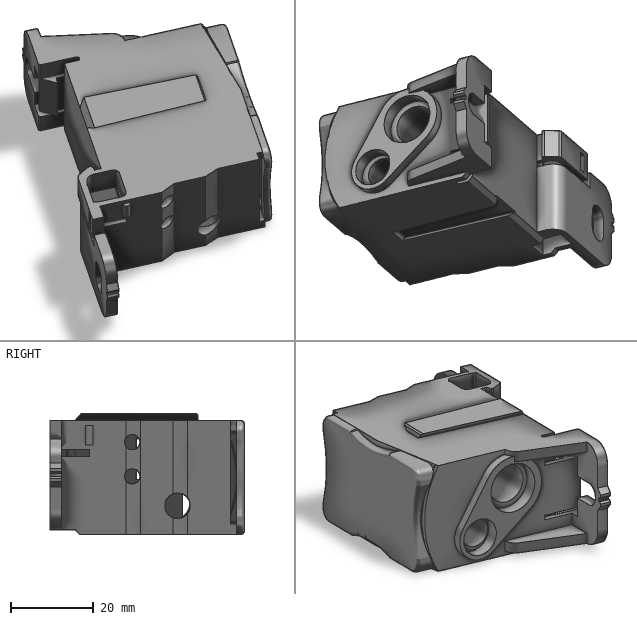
import cadquery as cq
import math

length = 77.2
width = 27.9
foot_z = 1.15
mid_z = (foot_z + width) / 2

front_x = 13.0
front_wall = 1.15
cap_x = 56.7
middle_tier_x = 58.2
back_x = 60.0
bottom_tier_y = 18.5
middle_tier_y = 30.0
tier_ramp = 3.55
base_y = 6.2
slope_start_y = 41.55
slope_end_x = 34.9
rim_y = 45.5
total_y = 47.5
notch_x = 54.75
notch_y = 44.1

flange_t = 2.85
flange_edge = 1.3
flange_r = 4.8
screw_half = 2.85
front_slot_x = 2.4
back_screw_x = 68.9
back_screw_z = 11.3
back_slot_length = 9.5
back_flange_top = 23.3
gap_z0 = 19.1
gap_z1 = 20.7
gap_top_y = 9.65
through_pocket_x = (52.8, 58.45)
tab_pocket_x = (50.2, 58.7)
pocket_floor_y = 1.6
pocket_top_y = 10.1
pocket_r = 1.55
pocket_large_r = 2.5
back_leg_x = 49.0
back_leg_r = 3.85
tab_tip_x = 47.65
tab_end_x = 63.5
tab_gap_end_x = 64.9
tab_gap_corner_r = 0.8
pull_slot_x = 61.7
pull_slot_z = (21.85, 26.65)
stop_bead_y = 9.6
stop_bead_r = 0.9

front_leg_x = 14.6
leg_chamfer = 0.4
leg_slot_w = 1.15
leg_slot_top = 10.1
wing_t = 2.6
wing_toe_x = 6.25
wing_shoulder = (10.0, 19.9)
wing_crown = (11.0, 21.4)
wing_top_y = 22.25
tongue_z = (7.95, 21.15)
tongue_slit = 1.15
tongue_root_y = 10.7
tongue_end_y = 0.5
catch_tip_x = 16.1

boss_x = 10.6
main_entry = (21.5, 18.4)
tap_entry = (31.0, 7.5)
main_entry_r = 6.3
tap_entry_r = 4.7
main_boss_r = 8.3
tap_boss_r = 5.9

dovetail_x = 33.0
dovetail_h = 1.6
dovetail_half_low = 4.9
dovetail_half_high = 4.1
dovetail_top_y = 36.15
dovetail_lead = 1.5
dovetail_end_chamfer = 0.4

cavity_x1 = cap_x - front_wall
cavity_z = (2.6, 25.25)
cavity_y = 12.35

terminal_top_y = 37.1
main_bore = (21.2, 18.4, 4.95)
tap_bore = (30.3, 7.5, 3.8)
main_ledge_y = 21.1
tap_ledge_y = 32.35
stop_x = 34.75
outlet_start_x = 46.3
main_outlet_y = 20.1
main_outlet_spread = 4.2
main_outlet_r = 3.1
main_exit_r = 1.85
tap_outlet = (31.1, 7.0, 3.1)

cap_corner_r = 3.2
cap_edge_r = 1.1
cap_clearance = 0.2
cap_skirt_y = 42.5
cap_roof = 1.2
grip_depth = 1.5
side_grip_half = 8.65
end_grip_half = 9.6
side_grip_lip = (0.3, 0.2)
end_grip_lip = (1.55, 0.4)


def box(x, y, z):
    """Box between pairs of limits along each axis."""
    size = (x[1] - x[0], y[1] - y[0], z[1] - z[0])
    return cq.Workplane("XY").box(*size, centered=False).translate((x[0], y[0], z[0]))


def along_z(points, z0, z1):
    """Closed polygon in X and Y, extruded between two Z levels."""
    return cq.Workplane("XY").workplane(offset=z0).polyline(points).close().extrude(z1 - z0)


def bore(centre, radius, x0, x1):
    """Round rod along X, centred at a Y and Z position."""
    return cq.Workplane("YZ", origin=(x0, *centre)).circle(radius).extrude(x1 - x0)


def upright_bore(centre, radius, z0, z1):
    """Round rod along Z, centred at an X and Y position."""
    return cq.Workplane("XY", origin=(*centre, z0)).circle(radius).extrude(z1 - z0)


def vault(x0, x1, raise_y):
    """Prism along X under the arched top edge of the front wall."""
    return (
        cq.Workplane("YZ", origin=(x0, 0, 0))
        .moveTo(base_y, 0)
        .lineTo(slope_start_y + raise_y, 0)
        .threePointArc((rim_y + raise_y, width / 2), (slope_start_y + raise_y, width))
        .lineTo(base_y, width)
        .close()
        .extrude(x1 - x0)
    )


def housing_shell():
    tiers = [
        (front_x, base_y), (back_x, base_y), (back_x, bottom_tier_y),
        (middle_tier_x, bottom_tier_y + tier_ramp), (middle_tier_x, middle_tier_y),
        (cap_x, middle_tier_y + tier_ramp),
        (cap_x, rim_y), (slope_end_x, rim_y), (front_x, slope_start_y),
    ]
    shell = along_z(tiers, 0, width)
    lower_edge = cq.Workplane("YZ").polyline(
        [(base_y, 0), (base_y + foot_z, 0), (base_y, foot_z)]
    ).close().extrude(length)
    front = vault(front_x, front_x + front_wall, 0)
    shell = shell.union(front).cut(lower_edge)
    cavity = box((front_x + front_wall, cavity_x1), (cavity_y, total_y), cavity_z)
    cap_notch = box((notch_x, cap_x), (notch_y, rim_y), (cavity_z[0], width))
    return shell.cut(cavity).cut(cap_notch)


def marker_teeth():
    """Pair of teeth pointing in -X at the flange edge X = flange_edge."""
    root_x = 2 * flange_edge
    root_z = 2.9
    half = [(root_x, root_z), (flange_edge, root_z), (0, 1.55), (0, 0.85), (0.5, 0.4), (1.0, 0.4)]
    outline = half + [(x, -z) for x, z in reversed(half)]
    points = [(x, mid_z + z) for x, z in outline]
    return cq.Workplane("XZ").polyline(points).close().extrude(-flange_t)


def front_foot():
    plate = box((flange_edge, front_leg_x), (0, flange_t), (foot_z, width))
    plate = plate.edges("|Y and <X").fillet(flange_r)
    leg = box((front_x, front_leg_x), (0, cavity_y), (foot_z, width))
    wing = (
        cq.Workplane("XY")
        .moveTo(wing_toe_x, 0)
        .lineTo(wing_toe_x, flange_t)
        .lineTo(*wing_shoulder)
        .threePointArc(wing_crown, (front_x, wing_top_y))
        .lineTo(front_x, 0)
        .close()
        .extrude(wing_t)
    )
    foot = plate.union(leg).edges("|Z and >X and <Y").chamfer(leg_chamfer).union(marker_teeth())
    for z in (foot_z, width - wing_t):
        foot = foot.union(wing.translate((0, 0, z)))
    return foot.cut(front_foot_openings()).union(tongue())


def front_foot_openings():
    window_z = (tongue_z[0] - tongue_slit, tongue_z[1] + tongue_slit)
    centre_x = front_slot_x + screw_half
    slot = box((centre_x, boss_x), (0, flange_t), (mid_z - screw_half, mid_z + screw_half))
    slot_end = cq.Workplane("XZ", origin=(centre_x, 0, mid_z)).circle(screw_half).extrude(-flange_t)
    window = box((boss_x, front_x), (0, flange_t), window_z)
    leg_window = box((front_x, front_leg_x), (0, tongue_root_y), window_z)
    return slot.union(slot_end).union(window).union(leg_window)


def tongue():
    """Sprung catch hanging between the two slits of the front leg."""
    points = [
        (front_x, tongue_root_y), (front_leg_x, tongue_root_y), (front_leg_x, 4.5),
        (catch_tip_x, 4.3), (catch_tip_x, 4.1), (13.7, tongue_end_y), (front_x, tongue_end_y),
    ]
    return along_z(points, *tongue_z)


def back_foot():
    leg = (
        cq.Workplane("XY")
        .workplane(offset=foot_z)
        .moveTo(back_leg_x, base_y)
        .lineTo(back_leg_x, back_leg_r)
        .radiusArc((back_leg_x + back_leg_r, 0), -back_leg_r)
        .lineTo(back_x, 0)
        .lineTo(back_x, base_y)
        .close()
        .extrude(gap_z0 - foot_z)
    )
    flange_end = length - flange_edge
    flange = box((tab_gap_end_x, flange_end), (0, flange_t), (foot_z, back_flange_top))
    flange = flange.edges("|Y and >X").fillet(flange_r)
    bridge = box((back_x, tab_gap_end_x), (0, flange_t), (foot_z, gap_z0))
    flange = flange.union(bridge)
    gap_corner = cq.selectors.NearestToPointSelector((tab_gap_end_x, flange_t / 2, gap_z0))
    flange = flange.edges(gap_corner).fillet(tab_gap_corner_r)
    teeth = marker_teeth().mirror("YZ").translate((length, 0, 0))
    screw_slot = (
        cq.Workplane("XZ", origin=(back_screw_x, 0, back_screw_z))
        .slot2D(back_slot_length, 2 * screw_half, 90)
        .extrude(-flange_t)
    )
    return leg.union(flange).union(teeth).cut(screw_slot)


def spring_tab():
    """Catch for the rail edge, with a pull slot in its free end."""
    points = [
        (back_leg_x, base_y), (back_leg_x, 4.55), (48.35, 4.4), (tab_tip_x, 4.0), (tab_tip_x, 3.4),
        (49.5, 0.3), (50.0, 0), (tab_end_x, 0), (tab_end_x, flange_t), (back_x, flange_t), (back_x, base_y),
    ]
    pull_slot = box((back_x, pull_slot_x), (0, flange_t), pull_slot_z)
    stop_bead = upright_bore((back_x, stop_bead_y), stop_bead_r, *pull_slot_z)
    return along_z(points, gap_z1, width).cut(pull_slot).union(stop_bead)


def back_pockets():
    gap = box((back_leg_x, tab_gap_end_x), (0, gap_top_y), (gap_z0, gap_z1))
    through = box(through_pocket_x, (pocket_floor_y, gap_top_y), (0, width))
    tab_pocket = box(tab_pocket_x, (pocket_floor_y, pocket_top_y), (gap_z1, width))
    tab_pocket = tab_pocket.edges("|Z and <X and <Y").fillet(pocket_large_r)
    tab_pocket = tab_pocket.edges("|Z and (>X or >Y)").fillet(pocket_r)
    return gap.union(through).union(tab_pocket)


def entry_boss():
    """Hull of the two entry collars, standing on the front face."""
    dy = tap_entry[0] - main_entry[0]
    dz = tap_entry[1] - main_entry[1]
    heading = math.atan2(dz, dy)
    spread = math.acos((main_boss_r - tap_boss_r) / math.hypot(dy, dz))

    def tangent(centre, radius, side):
        angle = heading + side * spread
        return (centre[0] + radius * math.cos(angle), centre[1] + radius * math.sin(angle))

    web = cq.Workplane("YZ", origin=(boss_x, 0, 0)).polyline([
        tangent(main_entry, main_boss_r, 1), tangent(tap_entry, tap_boss_r, 1),
        tangent(tap_entry, tap_boss_r, -1), tangent(main_entry, main_boss_r, -1),
    ]).close().extrude(front_x - boss_x)
    main_collar = bore(main_entry, main_boss_r, boss_x, front_x)
    tap_collar = bore(tap_entry, tap_boss_r, boss_x, front_x)
    return web.union(main_collar).union(tap_collar)


def dovetail():
    """Tapered dovetail standing on Z = 0, wide side up."""

    def section(half_width):
        narrow = half_width - dovetail_h
        return [(-narrow, 0), (narrow, 0), (half_width, dovetail_h), (-half_width, dovetail_h)]

    rise = dovetail_top_y - base_y
    return (
        cq.Workplane("XZ", origin=(dovetail_x, base_y, 0))
        .polyline(section(dovetail_half_low)).close()
        .workplane(offset=-rise)
        .polyline(section(dovetail_half_high)).close()
        .loft(ruled=True)
    )


def dovetail_rail():
    side = [
        (base_y, 0), (base_y + dovetail_lead, dovetail_h),
        (dovetail_top_y - dovetail_end_chamfer, dovetail_h),
        (dovetail_top_y, dovetail_h - dovetail_end_chamfer), (dovetail_top_y, 0),
    ]
    envelope = cq.Workplane("YZ").polyline(side).close().extrude(length)
    return dovetail().intersect(envelope).translate((0, 0, width))


def leg_slot():
    """Round-ended relief between the front leg and the rail seat."""
    radius = leg_slot_w / 2
    centre_y = leg_slot_top - radius
    slot = box((front_leg_x, front_leg_x + leg_slot_w), (base_y, centre_y), (0, width))
    return slot.union(upright_bore((front_leg_x + radius, centre_y), radius, 0, width))


def main_outlets():
    """Y and Z positions of the two outlets fed by the main bore."""
    return [(main_outlet_y, main_entry[1] + side * main_outlet_spread) for side in (-1, 1)]


def build_housing():
    body = housing_shell().union(back_foot()).union(spring_tab()).cut(back_pockets())
    body = body.cut(leg_slot())
    body = body.cut(front_foot_openings()).union(front_foot())
    body = body.union(entry_boss()).union(dovetail_rail()).cut(dovetail())
    inner_x = front_x + front_wall
    body = body.cut(bore(main_entry, main_entry_r, boss_x, inner_x))
    body = body.cut(bore(tap_entry, tap_entry_r, boss_x, inner_x))
    for centre in main_outlets():
        body = body.cut(bore(centre, main_exit_r, cavity_x1, back_x))
    return body.cut(bore(tap_outlet[:2], tap_outlet[2], cavity_x1, back_x))


def build_terminal():
    inner_x = front_x + front_wall
    block = box((inner_x, cavity_x1), (cavity_y, terminal_top_y), cavity_z)
    for (y, z, radius), ledge_y in ((main_bore, main_ledge_y), (tap_bore, tap_ledge_y)):
        above_ledge = box((stop_x, outlet_start_x), (ledge_y, terminal_top_y), cavity_z)
        deep = bore((y, z), radius, stop_x, outlet_start_x).intersect(above_ledge)
        block = block.cut(bore((y, z), radius, inner_x, stop_x)).cut(deep)
    for centre in main_outlets():
        block = block.cut(bore(centre, main_outlet_r, outlet_start_x, cavity_x1))
    return block.cut(bore(tap_outlet[:2], tap_outlet[2], outlet_start_x, cavity_x1))


def grip(half_width, lip_length, lip_depth):
    """Scoop along Y, centred on Z = 0 and cutting towards -Z, with a bevelled lip at each end."""
    return (
        cq.Workplane("XZ")
        .moveTo(-half_width, 0)
        .lineTo(lip_length - half_width, -lip_depth)
        .threePointArc((0, -grip_depth), (half_width - lip_length, -lip_depth))
        .lineTo(half_width, 0)
        .close()
        .extrude(-total_y)
    )


def build_cap():
    centre_x = (front_x + cap_x) / 2
    centre_z = width / 2
    cap = box((front_x, cap_x), (slope_start_y, total_y), (0, width)).edges("|Y").fillet(cap_corner_r)
    side_grip = grip(side_grip_half, *side_grip_lip)
    end_grip = grip(end_grip_half, *end_grip_lip)
    axis = ((0, 0, 0), (0, 1, 0))
    cap = cap.cut(side_grip.translate((centre_x, 0, width)))
    cap = cap.cut(side_grip.rotate(*axis, 180).translate((centre_x, 0, 0)))
    cap = cap.cut(end_grip.rotate(*axis, -90).translate((front_x, 0, centre_z)))
    cap = cap.cut(end_grip.rotate(*axis, 90).translate((cap_x, 0, centre_z)))
    cap = cap.faces(">Y").edges().fillet(cap_edge_r)

    skirt_slope_x = front_x + cap_corner_r
    below_skirt = along_z(
        [
            (0, 0), (length, 0), (length, rim_y), (slope_end_x, rim_y),
            (skirt_slope_x, cap_skirt_y), (0, cap_skirt_y),
        ],
        0, width,
    )
    hollow = box(
        (front_x + cap_corner_r, cap_x - cap_corner_r), (0, total_y - cap_roof),
        (cap_corner_r, width - cap_corner_r),
    )
    front_arch = vault(front_x, front_x + cap_corner_r, cap_clearance)
    return cap.cut(below_skirt).cut(hollow).cut(front_arch)


housing = build_housing().solids()
terminal = build_terminal().solids()
cap = build_cap().solids()

result = cq.Compound.makeCompound([housing.val(), terminal.val(), cap.val()])